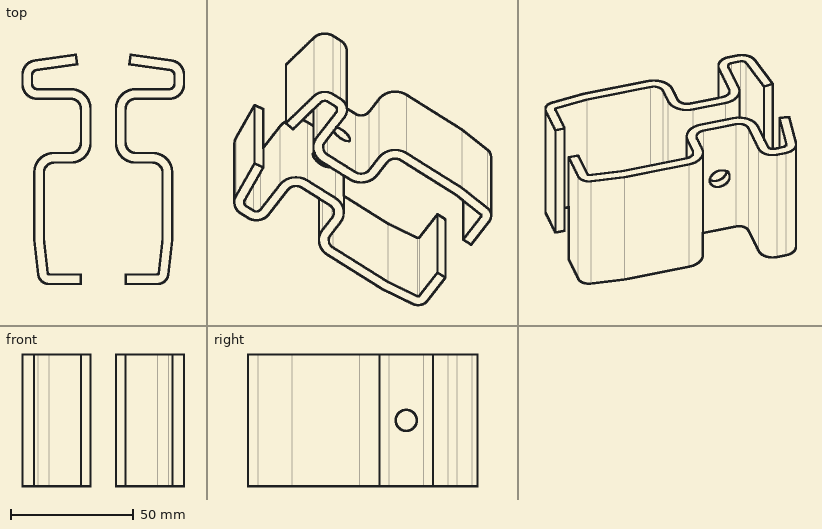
import cadquery as cq
import math

depth = 93.7
height = 54.0
width = 66.0
body_width = 56.4
waist_gap = 10.3
flange_gap = 18.3
thickness = 4.0

kink_y = 18.1
wall_lean = 6.5
shoulder_y = 49.55
head_y = 75.6
lip_rise = 8.0
lip_gap = 22.3

wide_bend_radius = thickness
head_bend_radius = thickness / 2
flange_bend_radius = 0.6
hole_diameter = 8.5

half = thickness / 2
wall_x = body_width / 2 - half
waist_x = waist_gap / 2 + half
head_x = width / 2 - half
lean = math.radians(wall_lean)
rise = math.radians(lip_rise)
shoulder_mid_y = shoulder_y + half
head_mid_y = head_y + half
flange_corner_x = wall_x - (kink_y - half) * math.tan(lean)
lip_tip_x = lip_gap / 2 - half * math.sin(rise)
lip_tip_y = depth - half * math.cos(rise)
lip_root_y = lip_tip_y - (head_x - lip_tip_x) * math.tan(rise)

middle_line = [
    (flange_gap / 2, half, 0),
    (flange_corner_x, half, flange_bend_radius),
    (wall_x, kink_y, 0),
    (wall_x, shoulder_mid_y, wide_bend_radius),
    (waist_x, shoulder_mid_y, wide_bend_radius),
    (waist_x, head_mid_y, wide_bend_radius),
    (head_x, head_mid_y, head_bend_radius),
    (head_x, lip_root_y, head_bend_radius),
    (lip_tip_x, lip_tip_y, 0),
]


def edge_corners(index):
    """Left and right corners of the strip at one middle-line point, and its turn angle."""
    x, y, _ = middle_line[index]
    before = middle_line[max(index - 1, 0)]
    after = middle_line[min(index + 1, len(middle_line) - 1)]
    angle_out = math.atan2(after[1] - y, after[0] - x)
    angle_in = math.atan2(y - before[1], x - before[0])
    if index == 0:
        angle_in = angle_out
    if index == len(middle_line) - 1:
        angle_out = angle_in
    turn = math.remainder(angle_out - angle_in, 2 * math.pi)
    normal = angle_in + turn / 2 + math.pi / 2
    miter = half / math.cos(turn / 2)
    dx = miter * math.cos(normal)
    dy = miter * math.sin(normal)
    return (x + dx, y + dy), (x - dx, y - dy), turn


def round_corner(strip, corner, radius):
    """Round the upright edge of the strip that stands at the given corner."""
    edge = cq.selectors.NearestToPointSelector((corner[0], corner[1], height / 2))
    return strip.edges("|Z").edges(edge).fillet(radius)


def bent_strip():
    """Right-hand strip with concentric bends."""
    corners = [edge_corners(index) for index in range(len(middle_line))]
    left_side = [left for left, _, _ in corners]
    right_side = [right for _, right, _ in corners]
    strip = cq.Workplane("XY").polyline(left_side + right_side[::-1]).close().extrude(height)
    for (_, _, radius), (left, right, turn) in zip(middle_line, corners):
        if radius > 0:
            inside, outside = (left, right) if turn > 0 else (right, left)
            strip = round_corner(strip, inside, radius)
            strip = round_corner(strip, outside, radius + thickness)
    return strip


def waist_hole():
    """Cylinder along X through the middle of the flat waist."""
    waist_mid_y = (shoulder_y + thickness + head_y) / 2
    return (
        cq.Workplane("YZ")
        .center(waist_mid_y, height / 2)
        .circle(hole_diameter / 2)
        .extrude(width / 2)
    )


def clamp_half(mirrored):
    """One clamp half, on the +X side unless mirrored."""
    clamp = bent_strip().cut(waist_hole())
    return clamp.mirror("YZ") if mirrored else clamp


clamp_halves = [clamp_half(mirrored).val() for mirrored in (False, True)]

result = cq.Compound.makeCompound(clamp_halves)